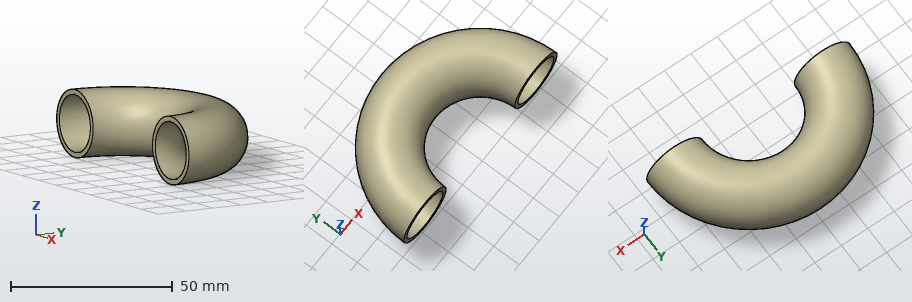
import cadquery as cq

overall_width = 77.3
pipe_diameter = 21.3
wall_thickness = 1.6
bend_angle = 180.0

bore_diameter = pipe_diameter - 2 * wall_thickness
bend_radius = (overall_width - pipe_diameter) / 2

pipe_section = (
    cq.Workplane("XZ")
    .moveTo(bend_radius, 0)
    .circle(pipe_diameter / 2)
    .circle(bore_diameter / 2)
)

bend_axis_start = (0, 0)
bend_axis_end = (0, 1)
result = pipe_section.revolve(bend_angle, bend_axis_start, bend_axis_end)